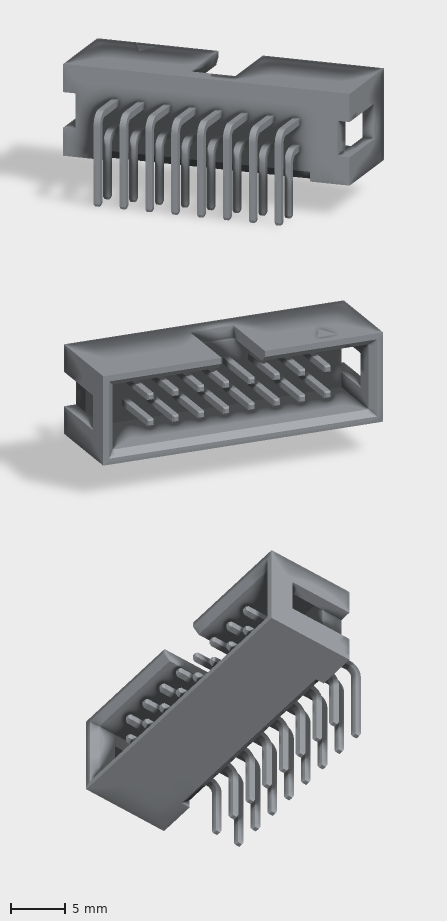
import cadquery as cq
import math


pin_pitch = 2.54
pin_columns = 8
pin_size = 0.635
pin_bend_inner_radius = pin_size
pin_tip_length = 0.25
pin_tip_inset = 0.1
pin_drop = 3.0
pin_tip_recess = 0.8
lower_row_reach = 2.16
upper_row_reach = lower_row_reach + pin_pitch

row_length = (pin_columns - 1) * pin_pitch
row_end_margin = 5.17
body_length = row_length + 2 * row_end_margin
body_depth = 9.0
body_height = 8.8
end_wall = 1.2
side_wall = 1.2
base_thickness = 2.2
mouth_chamfer = 0.6

slot_height = 3.4
slot_depth = 6.6
notch_width = 4.35
notch_depth = 7.2
bevel_length = pin_columns * pin_pitch
bevel_height = 0.93
mark_size = 2.0
mark_setback = 1.0
mark_thickness = 0.1

row_mid_z = body_height / 2
first_column_x = -row_length / 2


def block(length, depth, height, x_mid, y_rear, z_bottom):
    """Box centred on x_mid, growing toward +Y and +Z."""
    return (
        cq.Workplane("XY")
        .box(length, depth, height, centered=(True, False, False))
        .translate((x_mid, y_rear, z_bottom))
    )


def cavity():
    """Mating cavity, flared around its mouth."""
    length = body_length - 2 * end_wall
    height = body_height - 2 * side_wall
    pocket = block(length, body_depth - base_thickness, height, 0, base_thickness, side_wall)
    flare = (
        cq.Workplane("XZ", origin=(0, body_depth - mouth_chamfer, row_mid_z))
        .rect(length, height)
        .workplane(offset=-mouth_chamfer)
        .rect(length + 2 * mouth_chamfer, height + 2 * mouth_chamfer)
        .loft(ruled=True)
    )
    return pocket.union(flare)


def end_slot(side):
    """Slot through one end wall, open at the rear face."""
    x_mid = side * (body_length - end_wall) / 2
    return block(end_wall, slot_depth, slot_height, x_mid, 0, row_mid_z - slot_height / 2)


def key_notch():
    """Polarising notch through the top wall."""
    return block(notch_width, notch_depth, side_wall, 0, body_depth - notch_depth, body_height - side_wall)


def rear_bevel():
    """Relief under the housing, a 45 degree bevel along the rear edge."""
    return (
        cq.Workplane("YZ")
        .polyline([(0, 0), (0, bevel_height), (bevel_height, 0)])
        .close()
        .extrude(bevel_length / 2, both=True)
    )


def pin_one_mark():
    """Raised triangle over the first column, pointing to the rear."""
    y_base = body_depth - mark_setback
    return (
        cq.Workplane("XY", origin=(first_column_x, 0, body_height))
        .polyline([(-mark_size / 2, y_base), (mark_size / 2, y_base), (0, y_base - mark_size)])
        .close()
        .extrude(mark_thickness)
    )


def pin_tip(plane_normal, x, y, z):
    """Tapered end of a pin, starting at the given point and narrowing along plane_normal."""
    plane = cq.Plane(origin=(x, y, z), xDir=(1, 0, 0), normal=plane_normal)
    end_size = pin_size - 2 * pin_tip_inset
    return (
        cq.Workplane(plane)
        .rect(pin_size, pin_size)
        .workplane(offset=pin_tip_length)
        .rect(end_size, end_size)
        .loft(ruled=True)
    )


def pin(x, z, reach):
    """Bent pin: contact along Y at height z, leg dropping at y = -reach."""
    bend_radius = pin_bend_inner_radius + pin_size / 2
    y_contact = body_depth - pin_tip_recess - pin_tip_length
    z_leg = pin_tip_length - pin_drop
    mid_offset = bend_radius * (1 - math.sqrt(0.5))
    path = (
        cq.Workplane("YZ", origin=(x, 0, 0))
        .moveTo(y_contact, z)
        .lineTo(bend_radius - reach, z)
        .threePointArc((mid_offset - reach, z - mid_offset), (-reach, z - bend_radius))
        .lineTo(-reach, z_leg)
    )
    start = cq.Workplane("XZ", origin=(x, y_contact, z))
    wire = start.rect(pin_size, pin_size).sweep(path)
    contact_tip = pin_tip((0, 1, 0), x, y_contact, z)
    leg_tip = pin_tip((0, 0, -1), x, -reach, z_leg)
    return wire.union(contact_tip).union(leg_tip)


def housing():
    body = block(body_length, body_depth, body_height, 0, 0, 0)
    body = body.cut(cavity()).cut(key_notch()).cut(rear_bevel())
    for side in (-1, 1):
        body = body.cut(end_slot(side))
    return body.union(pin_one_mark())


result = housing()
for column in range(pin_columns):
    column_x = first_column_x + column * pin_pitch
    result = result.union(pin(column_x, row_mid_z - pin_pitch / 2, lower_row_reach))
    result = result.union(pin(column_x, row_mid_z + pin_pitch / 2, upper_row_reach))